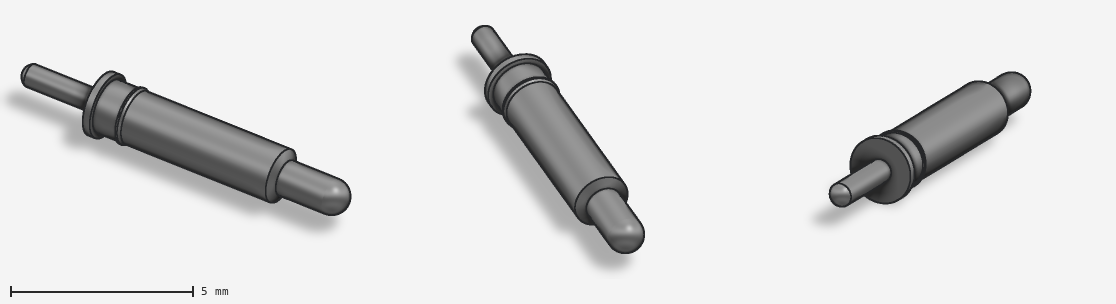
import cadquery as cq
import math

length = 10.5
start_x = -length / 2
end_x = length / 2

tail_radius = 0.34
tail_dome_height = 0.23
tail_length = 2.51

flange_radius = 0.94
flange_thickness = 0.23

barrel_radius = 0.79
barrel_length = 5.83
nose_taper_length = 0.16

ring_radius = 0.84
ring_offset = 0.99
ring_land_width = 0.06
ring_taper_width = 0.09

plunger_radius = 0.52

tail_dome_x = start_x + tail_dome_height
flange_x = start_x + tail_length
barrel_x = flange_x + flange_thickness
ring_x = flange_x + ring_offset
ring_taper_x = ring_x + ring_land_width
ring_end_x = ring_taper_x + ring_taper_width
nose_x = flange_x + barrel_length
plunger_x = nose_x + nose_taper_length
tip_dome_x = end_x - plunger_radius

tail_sphere_radius = (tail_radius**2 + tail_dome_height**2) / (2 * tail_dome_height)
half_cap_angle = math.asin(tail_radius / tail_sphere_radius) / 2
tail_cap_middle = (
    start_x + tail_sphere_radius * (1 - math.cos(half_cap_angle)),
    tail_sphere_radius * math.sin(half_cap_angle),
)
tip_middle = (
    tip_dome_x + plunger_radius * math.cos(math.pi / 4),
    plunger_radius * math.sin(math.pi / 4),
)

profile = (
    cq.Workplane("XY")
    .moveTo(start_x, 0)
    .threePointArc(tail_cap_middle, (tail_dome_x, tail_radius))
    .lineTo(flange_x, tail_radius)
    .lineTo(flange_x, flange_radius)
    .lineTo(barrel_x, flange_radius)
    .lineTo(barrel_x, barrel_radius)
    .lineTo(ring_x, barrel_radius)
    .lineTo(ring_x, ring_radius)
    .lineTo(ring_taper_x, ring_radius)
    .lineTo(ring_end_x, barrel_radius)
    .lineTo(nose_x, barrel_radius)
    .lineTo(plunger_x, plunger_radius)
    .lineTo(tip_dome_x, plunger_radius)
    .threePointArc(tip_middle, (end_x, 0))
    .close()
)

result = profile.revolve(360, (0, 0, 0), (1, 0, 0))